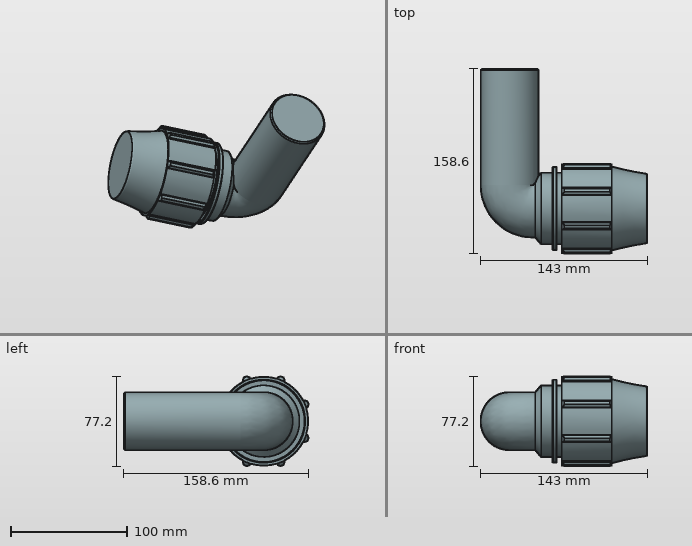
import cadquery as cq
import math

overall_length_y = 158.6
overall_length_x = 143.0

pipe_radius = 50.0 / 2
pipe_chamfer = 1.3
bend_radius = 20.1

neck_end_x = 22.0
shoulder_x = 27.0
body_radius = 61.5 / 2
flange_x = 36.6
flange_width = 4.0
flange_radius = 71.4 / 2
flange_chamfer = 0.6

nut_x = 44.7
nut_length = 43.0
nut_end_x = nut_x + nut_length
nut_radius = 38.2
taper_start_radius = 36.2
taper_mid_radius = 32.7
taper_end_radius = 30.1
coupling_end_x = overall_length_x - pipe_radius
end_chamfer = 1.6
end_chamfer_depth = 0.6

rib_count = 8
rib_tip_radius = 41.2
rib_base_width = 6.7
rib_tip_width = 2.9
rib_root_radius = nut_radius - 0.6
rib_shoulder_radius = 39.3
rib_front_slope = 2.2
rib_back_slope = 1.6
rib_pitch = 360 / rib_count

half_pitch = math.radians(rib_pitch / 2)
rib_reach = rib_tip_radius * math.cos(half_pitch) + rib_tip_width / 2 * math.sin(half_pitch)
pipe_end_y = overall_length_y - rib_reach


def make_pipe():
    """Straight spigot with a chamfered free end."""
    pipe = cq.Workplane("XZ", origin=(0, bend_radius, 0)).circle(pipe_radius).extrude(
        bend_radius - pipe_end_y
    )
    return pipe.faces(">Y").chamfer(pipe_chamfer)


def make_elbow():
    """Quarter bend; the tube section is cut off at the bend axis, which it would cross."""
    half_chord = math.sqrt(pipe_radius**2 - bend_radius**2)
    section = (
        cq.Workplane("XZ", origin=(0, bend_radius, 0))
        .moveTo(bend_radius, -half_chord)
        .threePointArc((-pipe_radius, 0), (bend_radius, half_chord))
        .close()
    )
    return section.revolve(90, (bend_radius, 0, 0), (bend_radius, 1, 0))


def make_coupling():
    """Neck, shoulder cone, flange, nut and tapered end as one turned profile."""
    flange_end_x = flange_x + flange_width
    taper_end_x = coupling_end_x - end_chamfer
    taper_mid_x = (nut_end_x + taper_end_x) / 2
    profile = (
        cq.Workplane("XY")
        .moveTo(bend_radius, 0)
        .lineTo(bend_radius, pipe_radius)
        .lineTo(neck_end_x, pipe_radius)
        .lineTo(shoulder_x, body_radius)
        .lineTo(flange_x, body_radius)
        .lineTo(flange_x, flange_radius - flange_chamfer)
        .lineTo(flange_x + flange_chamfer, flange_radius)
        .lineTo(flange_end_x - flange_chamfer, flange_radius)
        .lineTo(flange_end_x, flange_radius - flange_chamfer)
        .lineTo(flange_end_x, body_radius)
        .lineTo(nut_x, body_radius)
        .lineTo(nut_x, nut_radius)
        .lineTo(nut_end_x, nut_radius)
        .lineTo(nut_end_x, taper_start_radius)
        .threePointArc((taper_mid_x, taper_mid_radius), (taper_end_x, taper_end_radius))
        .lineTo(coupling_end_x, taper_end_radius - end_chamfer_depth)
        .lineTo(coupling_end_x, 0)
        .close()
    )
    return profile.revolve(360, (0, 0, 0), (1, 0, 0))


def make_rib():
    """Grip rib with a bevelled crest at the top of the nut, sloped at both ends."""
    section = (
        cq.Workplane("YZ", origin=(nut_x, 0, 0))
        .moveTo(-rib_base_width / 2, rib_root_radius)
        .lineTo(-rib_base_width / 2, rib_shoulder_radius)
        .lineTo(-rib_tip_width / 2, rib_tip_radius)
        .lineTo(rib_tip_width / 2, rib_tip_radius)
        .lineTo(rib_base_width / 2, rib_shoulder_radius)
        .lineTo(rib_base_width / 2, rib_root_radius)
        .close()
        .extrude(nut_length)
    )
    side_outline = (
        cq.Workplane("XZ")
        .moveTo(nut_x, rib_root_radius)
        .lineTo(nut_x, nut_radius)
        .lineTo(nut_x + rib_front_slope, rib_tip_radius)
        .lineTo(nut_end_x - rib_back_slope, rib_tip_radius)
        .lineTo(nut_end_x, nut_radius)
        .lineTo(nut_end_x, rib_root_radius)
        .close()
        .extrude(rib_base_width, both=True)
    )
    return section.intersect(side_outline)


result = make_pipe().union(make_elbow()).union(make_coupling())

rib = make_rib()
for index in range(rib_count):
    rib_angle = (index + 0.5) * rib_pitch
    result = result.union(rib.rotate((0, 0, 0), (1, 0, 0), rib_angle))